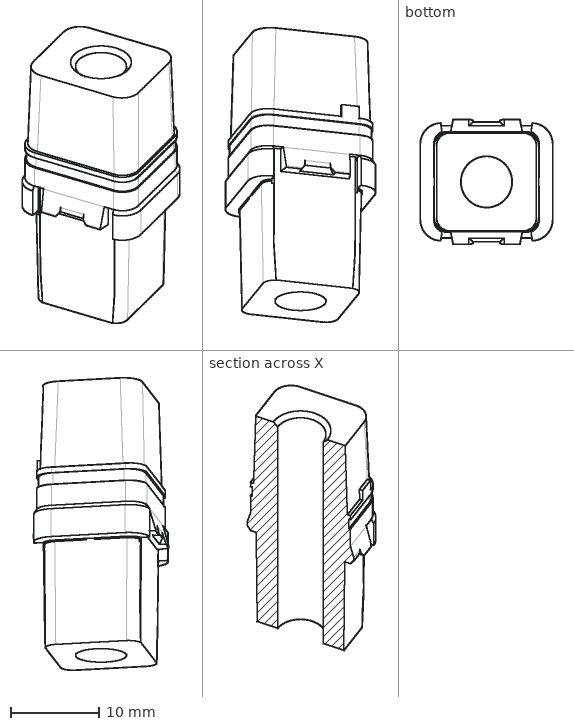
import cadquery as cq

WIDTH = 15.0
DEPTH = 14.15

HEIGHT = 30.57
FLANGE_BOTTOM_Z = 12.17
LIP_BOTTOM_Z = 12.0
FLANGE_SHOULDER_Z = 15.45
FLANGE_TOP_Z = 15.93
GROOVE_BOTTOM_Z = 18.4
GROOVE_TOP_Z = 19.75
COLLAR_TOP_Z = 20.42

COLLAR_X, COLLAR_Y, COLLAR_RADIUS = 7.18, 6.35, 2.08
FLANGE_STEP = WIDTH / 2 - COLLAR_X
GROOVE_X, GROOVE_Y = 7.1, 6.18
HEAD_FOOT_X, HEAD_FOOT_Y, HEAD_FOOT_RADIUS = 7.0, 6.0, 2.05
HEAD_TOP_X, HEAD_TOP_Y, HEAD_TOP_RADIUS = 6.8, 5.72, 2.15
STEM_TOP_X, STEM_TOP_Y = 5.9, 5.6
STEM_BOTTOM_X, STEM_BOTTOM_Y = 5.65, 5.53
STEM_RADIUS = 1.45
LIP_X, LIP_Y = 5.95, 5.75
LIP_GAP_HALF = 0.52

PAD_HALF_WIDTH = 4.8
PAD_BOTTOM_HALF_WIDTH = 4.52
PAD_TAPER_Z = 4.4
PAD_TOP_Y = 5.7

WINDOW_FLOOR_HALF = 5.05
WINDOW_MOUTH_HALF = 5.17
WINDOW_FLOOR_Y = 5.6
WINDOW_FLOOR_BOTTOM_Z = 11.7

LATCH_BASE_HALF = 4.07
LATCH_TIP_HALF = 3.8
LATCH_TIP_Y = DEPTH / 2
LATCH_BOTTOM_Z = 13.2
LATCH_EDGE_HEIGHT = 0.18
NOTCH_HALF = 1.5
NOTCH_MOUTH_HALF = 2.0
NOTCH_TOP_Z = 14.6
NOTCH_BEND_Z = 13.82
NOTCH_Y = 6.8
NOTCH_UNDERCUT = 0.43

LUG_LEFT_X, LUG_RIGHT_X = -5.0, -3.0
LUG_TOP_Z = 21.85

BORE_RADIUS = 5.78 / 2
BORE_CHAMFER = 0.55


def rounded_rectangle(half_x, half_y, radius):
    return cq.Sketch().rect(2 * half_x, 2 * half_y).vertices().fillet(radius)


def rounded_block(half_x, half_y, radius, bottom, top):
    profile = rounded_rectangle(half_x, half_y, radius)
    return cq.Workplane("XY", origin=(0, 0, bottom)).placeSketch(profile).extrude(top - bottom)


def tapered_block(lower, upper, bottom, top):
    lower_profile = rounded_rectangle(*lower)
    upper_profile = rounded_rectangle(*upper).moved(cq.Location(cq.Vector(0, 0, top - bottom)))
    return cq.Workplane("XY", origin=(0, 0, bottom)).placeSketch(lower_profile, upper_profile).loft()


def box(x_range, y_range, z_range):
    sizes = [high - low for low, high in (x_range, y_range, z_range)]
    corner = (x_range[0], y_range[0], z_range[0])
    return cq.Workplane("XY").box(*sizes, centered=False).translate(corner)


def make_flange():
    flange_x = COLLAR_X + FLANGE_STEP
    flange_y = COLLAR_Y + FLANGE_STEP
    flange_radius = COLLAR_RADIUS + FLANGE_STEP
    flange = rounded_block(flange_x, flange_y, flange_radius, FLANGE_BOTTOM_Z, FLANGE_SHOULDER_Z)
    shoulder = tapered_block(
        (flange_x, flange_y, flange_radius),
        (COLLAR_X, COLLAR_Y, COLLAR_RADIUS),
        FLANGE_SHOULDER_Z,
        FLANGE_TOP_Z,
    )
    window = make_window(flange_y)
    return flange.union(shoulder).cut(window).cut(window.mirror("XZ"))


def make_window(mouth_y):
    plan = [
        (-WINDOW_FLOOR_HALF, WINDOW_FLOOR_Y),
        (WINDOW_FLOOR_HALF, WINDOW_FLOOR_Y),
        (WINDOW_MOUTH_HALF, mouth_y),
        (-WINDOW_MOUTH_HALF, mouth_y),
    ]
    height = FLANGE_TOP_Z - WINDOW_FLOOR_BOTTOM_Z
    return cq.Workplane("XY", origin=(0, 0, WINDOW_FLOOR_BOTTOM_Z)).polyline(plan).close().extrude(height)


def make_window_floor():
    return box(
        (-WINDOW_FLOOR_HALF, WINDOW_FLOOR_HALF),
        (-WINDOW_FLOOR_Y, WINDOW_FLOOR_Y),
        (WINDOW_FLOOR_BOTTOM_Z, FLANGE_TOP_Z),
    )


def make_collar():
    lower_band = rounded_block(COLLAR_X, COLLAR_Y, COLLAR_RADIUS, FLANGE_TOP_Z, GROOVE_BOTTOM_Z)
    groove = rounded_block(GROOVE_X, GROOVE_Y, COLLAR_RADIUS, GROOVE_BOTTOM_Z, GROOVE_TOP_Z)
    upper_band = rounded_block(COLLAR_X, COLLAR_Y, COLLAR_RADIUS, GROOVE_TOP_Z, COLLAR_TOP_Z)
    return lower_band.union(groove).union(upper_band)


def make_head():
    return tapered_block(
        (HEAD_FOOT_X, HEAD_FOOT_Y, HEAD_FOOT_RADIUS),
        (HEAD_TOP_X, HEAD_TOP_Y, HEAD_TOP_RADIUS),
        COLLAR_TOP_Z,
        HEIGHT,
    )


def make_stem():
    stem = tapered_block(
        (STEM_BOTTOM_X, STEM_BOTTOM_Y, STEM_RADIUS),
        (STEM_TOP_X, STEM_TOP_Y, STEM_RADIUS),
        0,
        FLANGE_BOTTOM_Z,
    )
    lip = rounded_block(LIP_X, LIP_Y, STEM_RADIUS, LIP_BOTTOM_Z, FLANGE_BOTTOM_Z)
    gap = box((-COLLAR_X, COLLAR_X), (-LIP_GAP_HALF, LIP_GAP_HALF), (LIP_BOTTOM_Z, FLANGE_BOTTOM_Z))
    window = make_window(LIP_Y)
    return stem.union(lip.cut(gap).cut(window).cut(window.mirror("XZ")))


def make_pads():
    outline = [
        (-PAD_BOTTOM_HALF_WIDTH, 0),
        (PAD_BOTTOM_HALF_WIDTH, 0),
        (PAD_HALF_WIDTH, PAD_TAPER_Z),
        (PAD_HALF_WIDTH, FLANGE_TOP_Z),
        (-PAD_HALF_WIDTH, FLANGE_TOP_Z),
        (-PAD_HALF_WIDTH, PAD_TAPER_Z),
    ]
    front_outline = cq.Workplane("XZ").polyline(outline).close().extrude(COLLAR_Y, both=True)
    side_outline = [
        (-STEM_BOTTOM_Y, 0),
        (STEM_BOTTOM_Y, 0),
        (PAD_TOP_Y, FLANGE_TOP_Z),
        (-PAD_TOP_Y, FLANGE_TOP_Z),
    ]
    side_profile = cq.Workplane("YZ").polyline(side_outline).close().extrude(COLLAR_X, both=True)
    return front_outline.intersect(side_profile)


def make_latch():
    base_y = STEM_TOP_Y
    plan = [
        (-LATCH_BASE_HALF, base_y),
        (LATCH_BASE_HALF, base_y),
        (LATCH_TIP_HALF, LATCH_TIP_Y),
        (-LATCH_TIP_HALF, LATCH_TIP_Y),
    ]
    body = (
        cq.Workplane("XY", origin=(0, 0, LATCH_BOTTOM_Z))
        .polyline(plan)
        .close()
        .extrude(FLANGE_TOP_Z - LATCH_BOTTOM_Z)
    )
    ramp = [
        (base_y, LATCH_BOTTOM_Z),
        (LATCH_TIP_Y, LATCH_BOTTOM_Z),
        (LATCH_TIP_Y, LATCH_BOTTOM_Z + LATCH_EDGE_HEIGHT),
        (COLLAR_Y, FLANGE_TOP_Z),
        (base_y, FLANGE_TOP_Z),
    ]
    ramp_profile = cq.Workplane("YZ").polyline(ramp).close().extrude(LATCH_BASE_HALF, both=True)
    return body.intersect(ramp_profile).cut(make_latch_notch())


def make_latch_notch():
    front_outline = [
        (-NOTCH_HALF, NOTCH_TOP_Z),
        (NOTCH_HALF, NOTCH_TOP_Z),
        (NOTCH_HALF, NOTCH_BEND_Z),
        (NOTCH_MOUTH_HALF, LATCH_BOTTOM_Z),
        (-NOTCH_MOUTH_HALF, LATCH_BOTTOM_Z),
        (-NOTCH_HALF, NOTCH_BEND_Z),
    ]
    undercut_y = NOTCH_Y - NOTCH_UNDERCUT
    side_outline = [
        (NOTCH_Y, NOTCH_TOP_Z),
        (NOTCH_Y, NOTCH_BEND_Z),
        (undercut_y, LATCH_BOTTOM_Z),
        (LATCH_TIP_Y, LATCH_BOTTOM_Z),
        (LATCH_TIP_Y, NOTCH_TOP_Z),
    ]
    front_prism = cq.Workplane("XZ").polyline(front_outline).close().extrude(-LATCH_TIP_Y)
    side_prism = cq.Workplane("YZ").polyline(side_outline).close().extrude(NOTCH_MOUTH_HALF, both=True)
    return front_prism.intersect(side_prism)


def make_lug():
    return box((LUG_LEFT_X, LUG_RIGHT_X), (0, COLLAR_Y), (COLLAR_TOP_Z, LUG_TOP_Z))


def make_bore():
    profile = [
        (0, 0),
        (BORE_RADIUS, 0),
        (BORE_RADIUS, HEIGHT - BORE_CHAMFER),
        (BORE_RADIUS + BORE_CHAMFER, HEIGHT),
        (0, HEIGHT),
    ]
    return cq.Workplane("XZ").polyline(profile).close().revolve(360, (0, 0, 0), (0, 1, 0))


latch = make_latch()
body = make_stem().union(make_pads()).union(make_flange()).union(make_collar())
body = body.union(make_window_floor()).union(make_head()).union(make_lug())
body = body.union(latch).union(latch.mirror("XZ"))
result = body.cut(make_bore())